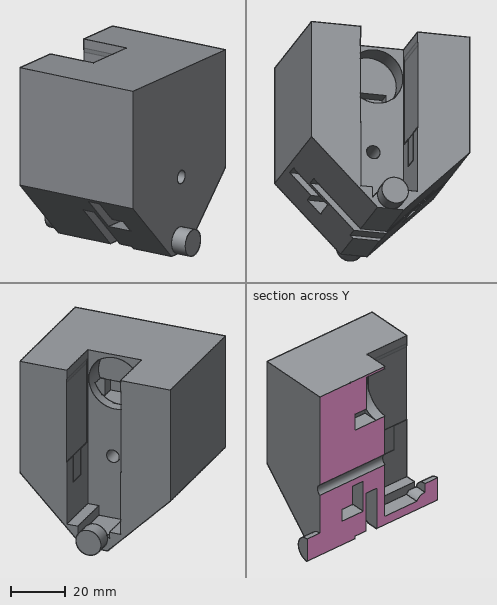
import cadquery as cq
import math

body_length = 50.0
body_width = 60.0
body_height = 70.0
bottom_width = 10.0
taper_height = (body_width - bottom_width) / 2
left_face = -body_length / 2

pin_radius = 5.005
overall_length = 62.0
pin_projection = (overall_length - body_length) / 2

channel_width = 21.4
channel_depth = 19.0
channel_centre_y = 0.55
ledge_z = 7.8
groove_width = 12.6
groove_floor_z = 3.9
channel_back = left_face + channel_depth

sill_length = 3.9
sill_height = 2.25
sill_crown_radius = 7.8

wall_recess_depth = 0.2
wall_recess_bottom_z = 32.8
wall_recess_top_z = 66.5
wall_recess_bevel_height = 1.6
wall_recess_end_gap = 0.7
tab_depth = 0.15
tab_length = 6.8
tab_bottom_z = 22.2
tab_offset = 6.1
tab_start = left_face + tab_offset

socket_radius = 10.35
socket_depth = 8.75
socket_y = 0.5
socket_z = 58.45
socket_back = channel_back + socket_depth
pocket_front_offset = 4.35
pocket_front = channel_back + pocket_front_offset
pocket_back_step = 0.35
pocket_back = socket_back + pocket_back_step
pocket_top_z = 54.9
pocket_bottom_z = socket_z - socket_radius
pocket_right_y = -6.0
pocket_left_y = 14.0
pocket_inner_left_y = 8.5
pocket_inner_depth = 5.0

cross_hole_diameter = 5.05
cross_hole_y = 1.25
cross_hole_z = 28.85

slot_width = 5.0
slot_left = -2.0
slot_top_z = 17.8
slot_foot_right = 8.1
slot_foot_height = 1.1
window_left = 4.4
window_right = 14.3
window_bottom_z = 10.65
window_top_z = 23.65
window_step_z = 15.6


def box(x_start, x_end, y_start, y_end, z_start, z_end):
    """Box between two opposite corners."""
    size = (x_end - x_start, y_end - y_start, z_end - z_start)
    return cq.Workplane("XY").box(*size, centered=False).translate((x_start, y_start, z_start))


def rod(radius, x_start, x_end, y, z):
    """Cylinder along X."""
    return cq.Workplane("YZ", origin=(x_start, y, z)).circle(radius).extrude(x_end - x_start)


def make_body():
    outline = [
        (-bottom_width / 2, 0),
        (bottom_width / 2, 0),
        (body_width / 2, taper_height),
        (body_width / 2, body_height),
        (-body_width / 2, body_height),
        (-body_width / 2, taper_height),
    ]
    block = cq.Workplane("YZ").polyline(outline).close().extrude(body_length / 2, both=True)
    pin_end = body_length / 2 + pin_projection
    for side in (-1, 1):
        block = block.union(rod(pin_radius, side * body_length / 4, side * pin_end, 0, pin_radius))
    return block


def channel_part(width, bottom_z):
    """Straight part of the channel, centred on the channel's middle."""
    right = channel_centre_y - width / 2
    return box(left_face, channel_back, right, right + width, bottom_z, body_height)


def make_sill():
    """Bump that is arched along X and crowned across Y."""
    inner_end = left_face + sill_length
    crest_z = groove_floor_z + sill_height
    arc_radius = (sill_length**2 + sill_height**2) / (2 * sill_height)
    half_angle = math.asin(sill_length / arc_radius) / 2
    arc_middle = (
        left_face + arc_radius * math.sin(half_angle),
        crest_z - arc_radius * (1 - math.cos(half_angle)),
    )
    arch = (
        cq.Workplane("XZ", origin=(0, channel_centre_y, 0))
        .moveTo(left_face, groove_floor_z)
        .lineTo(left_face, crest_z)
        .threePointArc(arc_middle, (inner_end, groove_floor_z))
        .close()
        .extrude(groove_width / 2, both=True)
    )
    return arch.intersect(rod(sill_crown_radius, left_face, inner_end, 0, 0))


def wall_recess(side):
    """Bevelled recess in one side wall, with a fainter tab recess below it."""
    wall = channel_centre_y + side * channel_width / 2
    deep = wall + side * wall_recess_depth
    profile = [
        (wall, wall_recess_bottom_z),
        (deep, wall_recess_bottom_z),
        (deep, wall_recess_top_z - wall_recess_bevel_height),
        (wall, wall_recess_top_z),
    ]
    length = channel_depth - wall_recess_end_gap
    recess = cq.Workplane("YZ", origin=(left_face, 0, 0)).polyline(profile).close().extrude(length)
    tab_sides = sorted((wall, wall + side * tab_depth))
    tab = box(tab_start, tab_start + tab_length, *tab_sides, tab_bottom_z, wall_recess_bottom_z)
    return recess.union(tab)


def make_socket():
    socket = rod(socket_radius, channel_back, socket_back, socket_y, socket_z)
    pocket = box(pocket_front, pocket_back, pocket_right_y, pocket_left_y, pocket_bottom_z, pocket_top_z)
    inner_end = pocket_back + pocket_inner_depth
    inner = box(pocket_back, inner_end, pocket_right_y, pocket_inner_left_y, pocket_bottom_z, pocket_top_z)
    return socket.union(pocket).union(inner)


def make_cross_openings():
    half = body_width / 2
    slot_right = slot_left + slot_width
    slot = box(slot_left, slot_right, -half, half, 0, slot_top_z)
    foot = box(slot_right, slot_foot_right, -half, half, 0, slot_foot_height)
    window_upright = box(window_left, window_left + slot_width, -half, half, window_bottom_z, window_top_z)
    window_foot = box(window_left, window_right, -half, half, window_bottom_z, window_step_z)
    return [slot, foot, window_upright, window_foot]


result = make_body()
result = result.cut(channel_part(channel_width, ledge_z))
result = result.cut(channel_part(groove_width, groove_floor_z))
result = result.union(make_sill())
for wall_side in (-1, 1):
    result = result.cut(wall_recess(wall_side))
result = result.cut(make_socket())
result = result.cut(
    rod(cross_hole_diameter / 2, left_face, body_length / 2, cross_hole_y, cross_hole_z)
)
for opening in make_cross_openings():
    result = result.cut(opening)